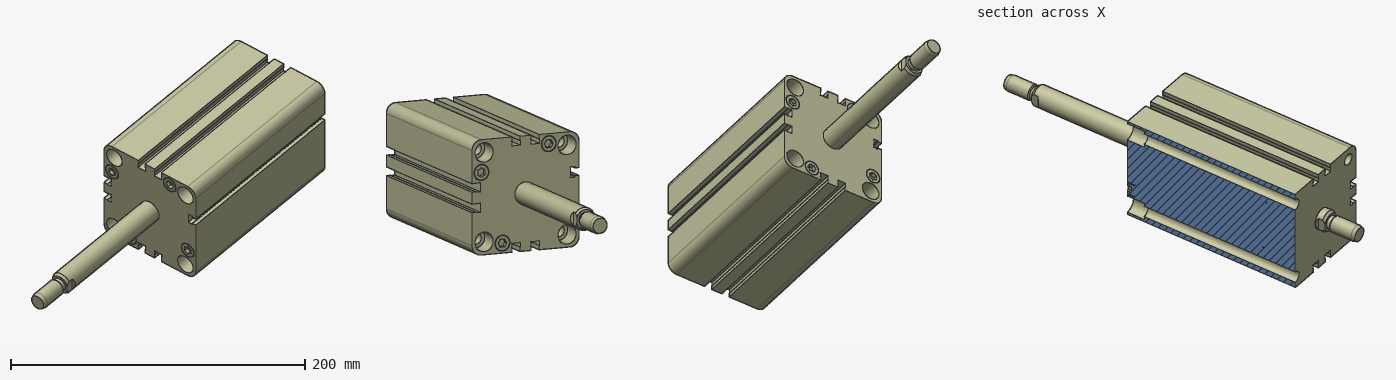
import cadquery as cq
import math

body_side = 80.0
body_length = 140.0
corner_radius = 7.0
half_side = body_side / 2

lip_depth = 3.1
pair_slot_offset = 7.1
pair_slot_mouth_width = 5.9
pair_slot_inner_width = 6.3
pair_slot_depth = 6.2
single_slot_height = 11.8
single_slot_mouth_width = 5.4
single_slot_inner_width = 7.2
single_slot_depth = 6.4

hole_offset = 31.0
hole_diameter = 8.57
counterbore_diameter = 13.5
counterbore_depth = 14.0

screw_long_offset = 33.0
screw_short_offset = 17.3
screw_pocket_diameter = 11.1
screw_head_diameter = 10.5
screw_pocket_depth = 6.0
hex_across_flats = 5.5
hex_depth = 3.0

rod_diameter = 16.0
front_rod_length = 97.7
rear_rod_length = 7.3
rod_chamfer_length = 2.0
rod_chamfer_height = 1.2
flat_across = 13.0
flat_length = 5.5
neck_diameter = 10.0
neck_length = 2.7
stud_diameter = 12.0
stud_length = 24.0
stud_tip_diameter = 10.5
stud_tip_length = 2.8
stud_root_length = 0.8


def box_between(x_range, y_range, z_range):
    """Axis-aligned box given by its limits on each axis."""
    size = [high - low for low, high in (x_range, y_range, z_range)]
    box = cq.Workplane("XY").box(*size, centered=False)
    return box.translate((x_range[0], y_range[0], z_range[0]))


def rod_along_y(diameter, start, end, x=0.0, z=0.0):
    """Cylinder parallel to Y from start to end."""
    base = cq.Workplane("XZ", origin=(x, start, z))
    return base.circle(diameter / 2).extrude(start - end)


def make_slot_cutter(mouth_width, inner_width, depth, offset):
    """Lipped slot in the +X side, centred at Z = offset and running the whole body length."""
    y_range = (0, body_length)
    lip = half_side - lip_depth
    mouth_z = (offset - mouth_width / 2, offset + mouth_width / 2)
    inner_z = (offset - inner_width / 2, offset + inner_width / 2)
    mouth = box_between((lip, half_side), y_range, mouth_z)
    inner = box_between((half_side - depth, lip), y_range, inner_z)
    return mouth.union(inner)


def make_body():
    side_range = (-half_side, half_side)
    body = box_between(side_range, (0, body_length), side_range)
    return body.edges("|Y").fillet(corner_radius)


def cut_slots(body):
    """One slot in the +X side and a pair in each of the three other sides."""
    single = make_slot_cutter(
        single_slot_mouth_width, single_slot_inner_width, single_slot_depth, single_slot_height
    )
    body = body.cut(single)
    for offset in (-pair_slot_offset, pair_slot_offset):
        cutter = make_slot_cutter(
            pair_slot_mouth_width, pair_slot_inner_width, pair_slot_depth, offset
        )
        for quarter in (1, 2, 3):
            body = body.cut(cutter.rotate((0, 0, 0), (0, 1, 0), 90 * quarter))
    return body


def cut_mounting_holes(body):
    for x in (-hole_offset, hole_offset):
        for z in (-hole_offset, hole_offset):
            body = body.cut(rod_along_y(hole_diameter, 0, body_length, x, z))
            body = body.cut(rod_along_y(counterbore_diameter, 0, counterbore_depth, x, z))
    return body


def make_screw_cutter():
    """Clearance ring around one flush screw head, and the hexagon socket in the head."""
    x, z = screw_short_offset, screw_long_offset
    pocket = rod_along_y(screw_pocket_diameter, 0, screw_pocket_depth, x, z)
    head = rod_along_y(screw_head_diameter, 0, screw_pocket_depth, x, z)
    hex_diameter = hex_across_flats / math.cos(math.pi / 6)
    face = cq.Workplane("XZ", origin=(x, 0, z))
    socket = face.polygon(6, hex_diameter).extrude(-hex_depth)
    return pocket.cut(head).union(socket)


def cut_screws(body):
    cutter = make_screw_cutter()
    for quarter in range(4):
        body = body.cut(cutter.rotate((0, 0, 0), (0, 1, 0), 90 * quarter))
    return body


def make_rod_end(rod_length):
    """Rod end pointing along -Y from the face at Y = 0, with flats and a threaded stud."""
    rod_radius = rod_diameter / 2
    stud_radius = stud_diameter / 2
    neck_radius = neck_diameter / 2
    neck_end = rod_length + neck_length
    tip = rod_length + stud_length
    outline = [
        (0, 0),
        (rod_radius, 0),
        (rod_radius, rod_chamfer_length - rod_length),
        (rod_radius - rod_chamfer_height, -rod_length),
        (neck_radius, -rod_length),
        (neck_radius, -neck_end),
        (stud_radius, -neck_end - stud_root_length),
        (stud_radius, stud_tip_length - tip),
        (stud_tip_diameter / 2, -tip),
        (0, -tip),
    ]
    rod_end = cq.Workplane("XY").polyline(outline).close().revolve(360, (0, 0), (0, 1))

    flat_x = flat_across / 2
    flat_start = flat_length - rod_length
    ramp = rod_radius - flat_x
    relief = [
        (flat_x, -rod_length),
        (flat_x, flat_start),
        (rod_radius, flat_start + ramp),
        (rod_radius, -rod_length),
    ]
    cutter = cq.Workplane("XY").polyline(relief).close().extrude(rod_radius, both=True)
    return rod_end.cut(cutter).cut(cutter.mirror("YZ"))


body = cut_screws(cut_mounting_holes(cut_slots(make_body())))
front_rod = make_rod_end(front_rod_length)
rear_rod = make_rod_end(rear_rod_length).mirror("XZ").translate((0, body_length, 0))
result = body.union(front_rod).union(rear_rod)